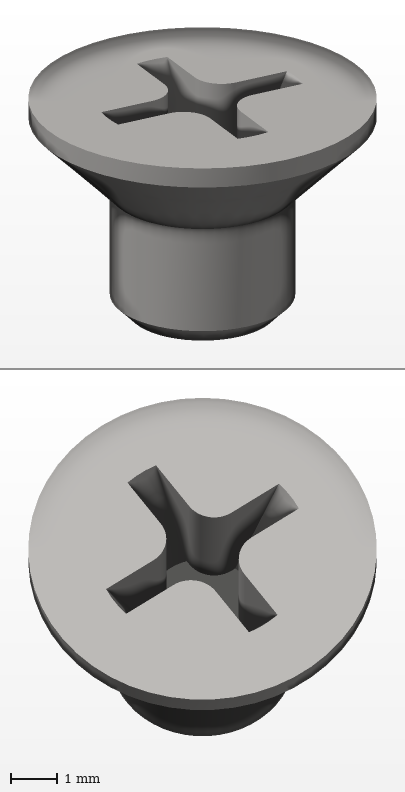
import cadquery as cq

head_diameter = 7.5
shank_diameter = 4.0
total_height = 5.0
rim_height = 0.45
tip_chamfer = 0.4

recess_top_diameter = 4.605
recess_floor_diameter = 2.37
recess_depth = 2.5
wing_width = 0.75
corner_radius = 0.65

head_radius = head_diameter / 2
shank_radius = shank_diameter / 2
rim_bottom = total_height - rim_height
cone_bottom = rim_bottom - (head_radius - shank_radius)
recess_floor = total_height - recess_depth


def screw_body():
    """Revolve the half profile of the head, shank and chamfered tip."""
    return (
        cq.Workplane("XZ")
        .lineTo(shank_radius - tip_chamfer, 0)
        .lineTo(shank_radius, tip_chamfer)
        .lineTo(shank_radius, cone_bottom)
        .lineTo(head_radius, rim_bottom)
        .lineTo(head_radius, total_height)
        .lineTo(0, total_height)
        .close()
        .revolve(360, (0, 0, 0), (0, 1, 0))
    )


def cross_recess():
    """Straight-walled cross with rounded inner corners, its wing ends trimmed by a cone."""
    plane = cq.Workplane("XY").workplane(offset=recess_floor)
    wing_along_x = plane.rect(recess_top_diameter, wing_width).extrude(recess_depth)
    wing_along_y = plane.rect(wing_width, recess_top_diameter).extrude(recess_depth)
    inner_corners = cq.selectors.BoxSelector(
        (-wing_width, -wing_width, recess_floor),
        (wing_width, wing_width, total_height),
    )
    cross = wing_along_x.union(wing_along_y).edges("|Z").edges(inner_corners).fillet(corner_radius)
    cone = (
        plane.circle(recess_floor_diameter / 2)
        .workplane(offset=recess_depth)
        .circle(recess_top_diameter / 2)
        .loft(ruled=True)
    )
    return cross.intersect(cone)


result = screw_body().cut(cross_recess())